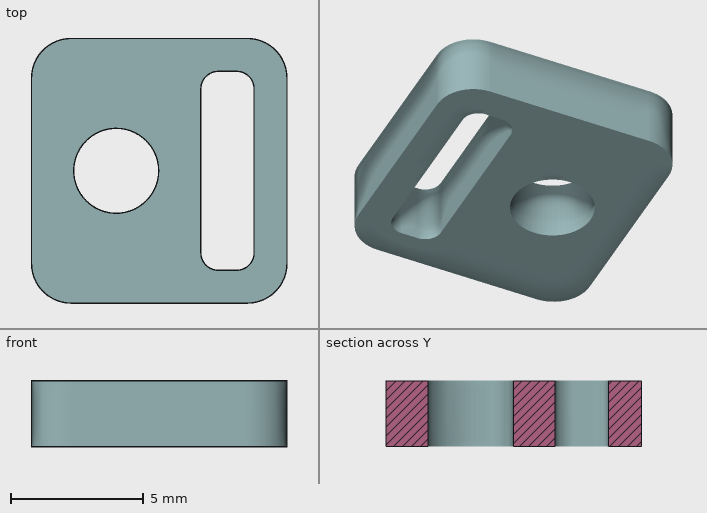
import cadquery as cq

width = 9.65
length = 10
thickness = 2.5
corner_radius = 1.5

hole_diameter = 3.2
hole_edge_wall = 1.6
hole_x = -width / 2 + hole_edge_wall + hole_diameter / 2

slot_wall = 1.25
slot_width = 2
slot_length = length - 2 * slot_wall
slot_corner_radius = 0.65
slot_x = width / 2 - slot_wall - slot_width / 2


def rounded_block(block_width, block_length, radius):
    """Block of the plate thickness with rounded vertical edges."""
    block = cq.Workplane("XY").box(block_width, block_length, thickness)
    return block.edges("|Z").fillet(radius)


plate = rounded_block(width, length, corner_radius)
hole = cq.Workplane("XY").center(hole_x, 0).circle(hole_diameter / 2).extrude(thickness / 2, both=True)
slot = rounded_block(slot_width, slot_length, slot_corner_radius).translate((slot_x, 0, 0))

result = plate.cut(hole).cut(slot)